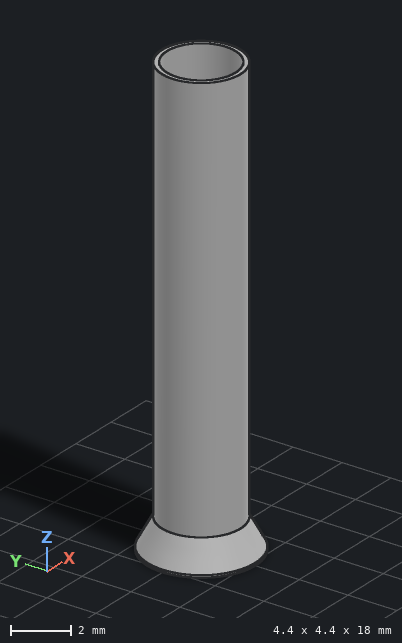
import cadquery as cq

total_length = 18.0
tube_diameter = 3.2
bore_diameter = 2.8
flare_diameter = 4.4

flare_height = 1.2
rim_height = 0.1

tube_radius = tube_diameter / 2
bore_radius = bore_diameter / 2
flare_radius = flare_diameter / 2


def make_sleeve():
    """Revolve the wall section of a thin tube with a conical foot about Z."""
    section = (
        cq.Workplane("XZ")
        .moveTo(bore_radius, 0)
        .lineTo(flare_radius, 0)
        .lineTo(flare_radius, rim_height)
        .lineTo(tube_radius, flare_height)
        .lineTo(tube_radius, total_length)
        .lineTo(bore_radius, total_length)
        .close()
    )
    return section.revolve(360, (0, 0, 0), (0, 1, 0))


result = make_sleeve()